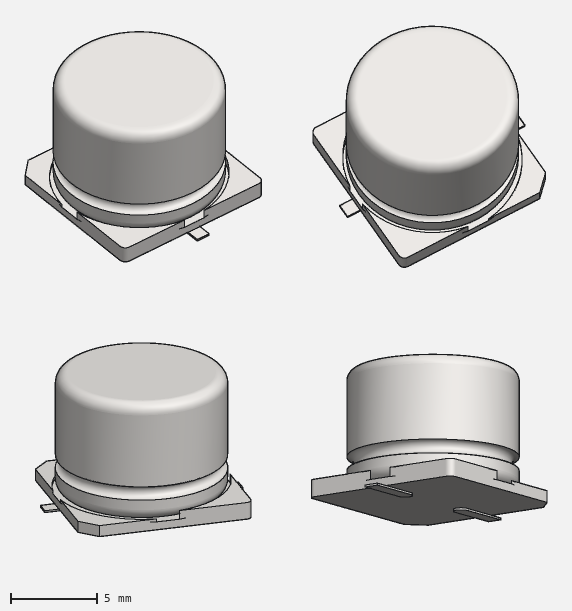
import cadquery as cq

lead_span = 12.0
base_width = 10.3
total_height = 7.9

lead_width = 0.88
lead_thickness = 0.12
lead_inner_end = 2.28

low_top = 0.82
high_top = 1.16
corner_chamfer = 1.0
corner_radius = 0.4
seat_radius = 5.2
seat_floor = 0.62

can_radius = 10.0 / 2
can_edge_radius = 0.67
groove_bottom = 1.93
groove_radius = 0.41


def make_base():
    """Stepped plate with chamfered -X corners, rounded +X corners and a round seat for the can."""
    low_half = (
        cq.Workplane("XY", origin=(-base_width / 4, 0, lead_thickness))
        .box(base_width / 2, base_width, low_top - lead_thickness, centered=(True, True, False))
        .edges("|Z and <X")
        .chamfer(corner_chamfer)
    )
    high_half = (
        cq.Workplane("XY", origin=(base_width / 4, 0, lead_thickness))
        .box(base_width / 2, base_width, high_top - lead_thickness, centered=(True, True, False))
        .edges("|Z and >X")
        .fillet(corner_radius)
    )
    seat = cq.Workplane("XY", origin=(0, 0, seat_floor)).circle(seat_radius).extrude(high_top)
    return low_half.union(high_half).cut(seat)


def make_can():
    """Revolved can with rounded rims and a half-round crimp groove."""
    rim_radius = can_radius - can_edge_radius
    groove_top = groove_bottom + 2 * groove_radius
    groove_middle = groove_bottom + groove_radius
    profile = (
        cq.Workplane("XZ")
        .moveTo(0, seat_floor)
        .lineTo(rim_radius, seat_floor)
        .radiusArc((can_radius, seat_floor + can_edge_radius), -can_edge_radius)
        .lineTo(can_radius, groove_bottom)
        .threePointArc((can_radius - groove_radius, groove_middle), (can_radius, groove_top))
        .lineTo(can_radius, total_height - can_edge_radius)
        .radiusArc((rim_radius, total_height), -can_edge_radius)
        .lineTo(0, total_height)
        .close()
    )
    return profile.revolve(360, (0, 0, 0), (0, 1, 0))


def make_lead(side):
    """Flat lead under the base with a rounded inner end; side is -1 or +1 along X."""
    half_width = lead_width / 2
    outer_x = side * lead_span / 2
    inner_x = side * lead_inner_end
    round_start_x = side * (lead_inner_end + half_width)
    return (
        cq.Workplane("XY")
        .moveTo(outer_x, -half_width)
        .lineTo(round_start_x, -half_width)
        .threePointArc((inner_x, 0), (round_start_x, half_width))
        .lineTo(outer_x, half_width)
        .close()
        .extrude(lead_thickness)
    )


result = make_base().union(make_can())
for lead_side in (-1, 1):
    result = result.union(make_lead(lead_side))